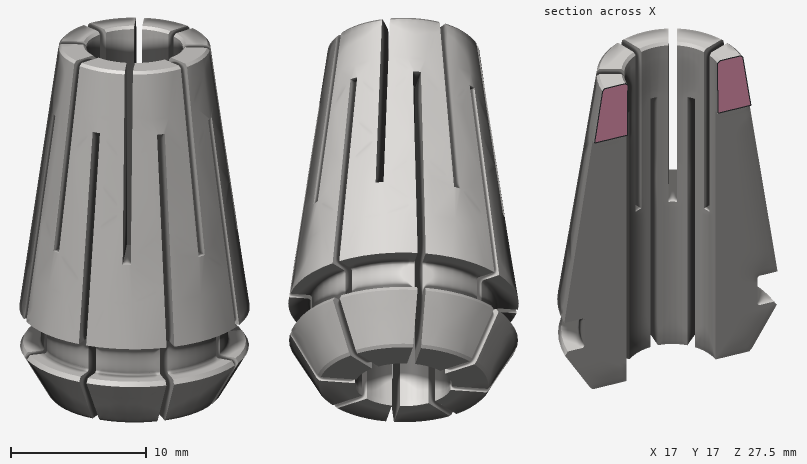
import cadquery as cq
import math

TOTAL_HEIGHT = 27.5
COLLAR_WIDEST_Z = 3.66
COLLAR_TOP_Z = 4.0
TAPER_BASE_Z = 6.68

BORE_RADIUS = 7.14 / 2
TAPER_BASE_RADIUS = 17.0 / 2
TAPER_HALF_ANGLE = 8.0
GROOVE_RADIUS = 6.9
COLLAR_RADIUS = 8.44
COLLAR_HALF_ANGLE = 30.0
COLLAR_TOP_RADIUS = 8.22

TOP_EDGE_BREAK = 0.2
GROOVE_FILLET = 0.2
BASE_EDGE_BREAK = 0.2

SLOT_WIDTH = 0.6
SLOTS_PER_END = 8
SLOT_PITCH = 360.0 / SLOTS_PER_END
TOP_SLOT_FLOOR_Z = 13.0
BOTTOM_SLOT_ROOF_Z = 22.7


def taper_radius(z):
    """Radius of the long clamping taper at height z."""
    return TAPER_BASE_RADIUS - (z - TAPER_BASE_Z) * math.tan(math.radians(TAPER_HALF_ANGLE))


def make_body():
    """Revolve the half section: collar, groove and clamping taper around the bore."""
    collar_low_radius = COLLAR_RADIUS - (COLLAR_WIDEST_Z - BASE_EDGE_BREAK) * math.tan(
        math.radians(COLLAR_HALF_ANGLE)
    )
    break_z = TOTAL_HEIGHT - TOP_EDGE_BREAK
    arc_mid = GROOVE_FILLET * (1 - math.sqrt(0.5))
    groove_low_mid = (GROOVE_RADIUS + arc_mid, COLLAR_TOP_Z + arc_mid)
    groove_high_mid = (GROOVE_RADIUS + arc_mid, TAPER_BASE_Z - arc_mid)
    section = (
        cq.Workplane("XZ")
        .moveTo(BORE_RADIUS, 0)
        .lineTo(collar_low_radius - BASE_EDGE_BREAK, 0)
        .lineTo(collar_low_radius, BASE_EDGE_BREAK)
        .lineTo(COLLAR_RADIUS, COLLAR_WIDEST_Z)
        .lineTo(COLLAR_TOP_RADIUS, COLLAR_TOP_Z)
        .lineTo(GROOVE_RADIUS + GROOVE_FILLET, COLLAR_TOP_Z)
        .threePointArc(groove_low_mid, (GROOVE_RADIUS, COLLAR_TOP_Z + GROOVE_FILLET))
        .lineTo(GROOVE_RADIUS, TAPER_BASE_Z - GROOVE_FILLET)
        .threePointArc(groove_high_mid, (GROOVE_RADIUS + GROOVE_FILLET, TAPER_BASE_Z))
        .lineTo(TAPER_BASE_RADIUS, TAPER_BASE_Z)
        .lineTo(taper_radius(break_z), break_z)
        .lineTo(taper_radius(break_z) - TOP_EDGE_BREAK, TOTAL_HEIGHT)
        .lineTo(BORE_RADIUS + TOP_EDGE_BREAK, TOTAL_HEIGHT)
        .lineTo(BORE_RADIUS, break_z)
        .close()
    )
    return section.revolve(360, (0, 0, 0), (0, 1, 0))


def cut_slots(body, bottom_z, top_z, first_angle):
    """Cut one ring of radial slots from the bore to the outside between two heights."""
    blade_length = 2 * TAPER_BASE_RADIUS + SLOT_WIDTH
    blade = (
        cq.Workplane("XY")
        .workplane(offset=bottom_z)
        .rect(blade_length, SLOT_WIDTH)
        .extrude(top_z - bottom_z)
    )
    for index in range(SLOTS_PER_END // 2):
        body = body.cut(blade.rotate((0, 0, 0), (0, 0, 1), first_angle + index * SLOT_PITCH))
    return body


collet = make_body()
collet = cut_slots(collet, 0, BOTTOM_SLOT_ROOF_Z, 0)
collet = cut_slots(collet, TOP_SLOT_FLOOR_Z, TOTAL_HEIGHT, SLOT_PITCH / 2)
result = collet